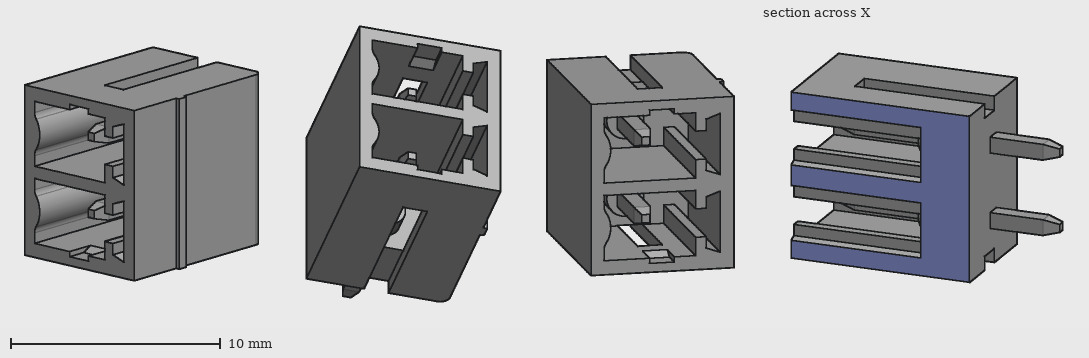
import cadquery as cq
import math


body_width = 7.0
body_depth = 9.2
body_height = 8.41
corner_radius = 0.5

rib_height = 0.2
rib_front = 3.0
rib_length = 0.6
rib_edge_radius = 0.15

pole_pitch = 3.81
pole_heights = (-pole_pitch / 2, pole_pitch / 2)
pin_x = 3.01

cavity_depth = 6.67
cavity_left = 0.64
cavity_half_height = 1.6
ridge_left = 5.12
ridge_right = 5.64
ridge_gap_half = 0.7
flare_half_inner = 1.26
flare_half_outer = 1.5
cavity_right = 6.32
bulge_depth = 0.33
bulge_crest_radius = 1.33
bulge_blend_radius = 0.55

collar_diameter = 1.8
collar_length = 0.98
pin_size = 0.8
tip_size = 0.41
tip_length = 0.8
pin_front = 1.4
pin_back = 12.7

slot_left = 2.87
slot_width = 1.21
slot_front = 2.5
slot_depth = 0.71
notch_height = 0.25
notch_flat_length = 1.0
notch_ramp_length = 0.5


def make_body():
    """Housing block with one rounded rear edge and a rib across its right side."""
    block = (
        cq.Workplane("XY")
        .box(body_width, body_depth, body_height, centered=(False, False, True))
        .edges("|Z and >X and >Y")
        .fillet(corner_radius)
    )
    rib = (
        cq.Workplane("XY")
        .box(2 * rib_height, rib_length, body_height, centered=(True, False, True))
        .translate((body_width, rib_front, 0))
        .edges("|Z and >X and >Y")
        .fillet(rib_edge_radius)
    )
    return block.union(rib)


def make_cavity(height):
    """Plug cavity: bulged left side, and a flared keyway behind two ridges on the right.

    The bulge is a crest arc joined to the flat side by a tangent blend arc at each end.
    """
    radius_sum = bulge_crest_radius + bulge_blend_radius
    bulge_half_height = math.sqrt(bulge_depth * (2 * radius_sum - bulge_depth))
    crest_share = bulge_crest_radius / radius_sum
    joint_height = bulge_half_height * crest_share
    joint_x = cavity_left + bulge_depth * (1 - crest_share)
    return (
        cq.Workplane("XZ", origin=(0, 0, height))
        .moveTo(cavity_left, cavity_half_height)
        .lineTo(ridge_left, cavity_half_height)
        .lineTo(ridge_left, ridge_gap_half)
        .lineTo(ridge_right, ridge_gap_half)
        .lineTo(ridge_right, flare_half_inner)
        .lineTo(cavity_right, flare_half_outer)
        .lineTo(cavity_right, -flare_half_outer)
        .lineTo(ridge_right, -flare_half_inner)
        .lineTo(ridge_right, -ridge_gap_half)
        .lineTo(ridge_left, -ridge_gap_half)
        .lineTo(ridge_left, -cavity_half_height)
        .lineTo(cavity_left, -cavity_half_height)
        .lineTo(cavity_left, -bulge_half_height)
        .tangentArcPoint((joint_x, -joint_height), relative=False)
        .threePointArc((cavity_left + bulge_depth, 0), (joint_x, joint_height))
        .tangentArcPoint((cavity_left, bulge_half_height), relative=False)
        .close()
        .extrude(-cavity_depth)
    )


def make_slot():
    """Slot in the top wall, open to the rear face and breaking into the cavity."""
    return cq.Workplane("XY").box(
        slot_width, body_depth - slot_front, slot_depth, centered=False
    ).translate((slot_left, slot_front, body_height / 2 - slot_depth))


def make_notch():
    """Notch in the ceiling of the upper cavity: flat at the front, then a ramp."""
    ceiling = pole_pitch / 2 + cavity_half_height
    notch_top = ceiling + notch_height
    return (
        cq.Workplane("YZ", origin=(slot_left, 0, 0))
        .moveTo(0, pole_pitch / 2)
        .lineTo(0, notch_top)
        .lineTo(notch_flat_length, notch_top)
        .lineTo(notch_flat_length + notch_ramp_length, ceiling)
        .lineTo(notch_flat_length + notch_ramp_length, pole_pitch / 2)
        .close()
        .extrude(slot_width)
    )


def make_tip(start, height, direction):
    """Tapered pin end running from `start` along Y in the given direction (+1 or -1)."""
    return (
        cq.Workplane("XZ", origin=(pin_x, start, height))
        .rect(pin_size, pin_size)
        .workplane(offset=-direction * tip_length)
        .rect(tip_size, tip_size)
        .loft()
    )


def make_contact(height):
    """Square pin, tapered at both ends, with a round collar on the cavity's back wall."""
    shank_front = pin_front + tip_length
    shank_back = pin_back - tip_length
    shank = (
        cq.Workplane("XZ", origin=(pin_x, shank_front, height))
        .rect(pin_size, pin_size)
        .extrude(shank_front - shank_back)
    )
    collar = (
        cq.Workplane("XZ", origin=(pin_x, cavity_depth - collar_length, height))
        .circle(collar_diameter / 2)
        .extrude(-collar_length)
    )
    front_tip = make_tip(shank_front, height, -1)
    back_tip = make_tip(shank_back, height, 1)
    return shank.union(collar).union(front_tip).union(back_tip)


result = make_body()
for pole_height in pole_heights:
    result = result.cut(make_cavity(pole_height))

for wall_cutter in (make_slot(), make_notch()):
    result = result.cut(wall_cutter).cut(wall_cutter.mirror("XY"))

for pole_height in pole_heights:
    result = result.union(make_contact(pole_height))